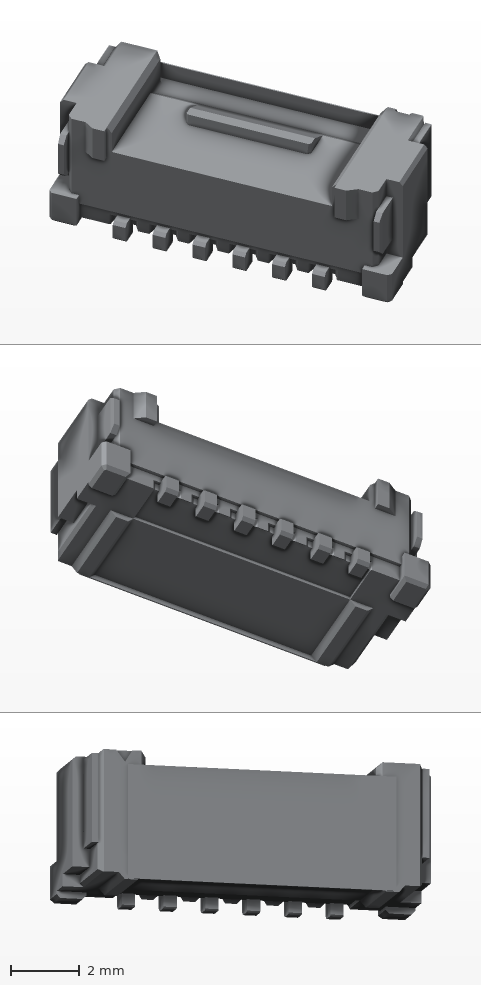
import cadquery as cq


TOP_Z = 3.90
HALF_WIDTH = 5.375
BODY_HALF_WIDTH = 4.86
FRONT_Y = -3.95
FOOT_FRONT_Y = -4.15
TAIL_FRONT_Y = -4.20
UNDERSIDE_Z = 0.27
RAIL_Z = 0.07

EDGE_CHAMFER = 0.11
REAR_CORNER_X = 0.13
REAR_CORNER_Y = 0.26
FRONT_CORNER = 0.14
FRONT_STEP_Z = 0.85
FRONT_STEP_DEPTH = 0.11
HOLLOW_DEPTH = 0.11

RECESS_HALF_WIDTH = 3.455
RECESS_LIP = 0.16
FLOOR_Z = 3.04
SUNK_FLOOR_Z = 2.93
SUNK_FLOOR_END_Y = -0.73
RAMP_END_Y = -0.93
RAMP_SLOPE = (FLOOR_Z - SUNK_FLOOR_Z) / (SUNK_FLOOR_END_Y - RAMP_END_Y)
FLOOR_FILLET = 0.10
MOUTH_LEAD_IN = 0.16

BUMP_HALF_WIDTH = 1.955
BUMP_CREST_Y = -1.55
BUMP_CREST_Z = SUNK_FLOOR_Z + RAMP_SLOPE * (SUNK_FLOOR_END_Y - BUMP_CREST_Y)
BUMP_TOP_Z = 3.40
BUMP_FRONT_Y = -1.93
BUMP_DRAFT = 0.03
BUMP_CORNER = 0.09

WING_REAR_Y = -1.26
WING_STEP_Y = -2.46
WING_FRONT_Y = -3.20
WING_REAR_BOTTOM_Z = 0.63
FOOT_INNER_X = 4.48
FOOT_TOP_Z = 1.16
RAIL_INNER_X = 3.54
RAIL_OUTER_X = 4.29
RAIL_FLANK = 0.18
RAIL_FRONT_Y = -2.50
PAD_INNER_X = 3.61
PAD_FLANK_X = 3.98
PAD_OUTER_X = 4.28
PAD_BOTTOM_Z = 2.81

MARK_LEFT_X = 3.88
MARK_TIP_X = 4.10
MARK_RIGHT_X = 4.37
MARK_HEIGHT = 0.35
MARK_DEPTH = 0.10

TAB_OUTER_X = 5.06
TAB_REAR_Y = -0.17
TAB_PLATE_FRONT_Y = -1.20
TAB_PLATE_BOTTOM_Z = 1.16
TAB_PLATE_TOP_Z = 3.80
TAB_NECK_BOTTOM_Z = 1.67
TAB_NECK_TOP_Z = 3.38
TAB_TIP_BOTTOM_Z = 1.77
TAB_TIP_TOP_Z = 3.27
TAB_TIP_CHAMFER = 0.21
TAB_TIP_TAPER = 0.02

CONTACT_COUNT = 6
CONTACT_PITCH = 1.25
CONTACT_WIDTH = 0.40
CONTACT_TOP_Z = 0.67
CONTACT_REAR_Y = -3.60
CONTACT_CHAMFER = 0.10
CONTACT_HEEL = 0.04
POCKET_HALF_WIDTH = 0.45
POCKET_DEPTH = 0.11
POCKET_TOP_Z = 0.63

PLATE_HALF_WIDTH = 4.02
PLATE_BOTTOM_Z = 0.09
PLATE_TOP_Z = 3.48
PLATE_THICKNESS = 0.04


def block(x0, x1, y0, y1, z0, z1):
    """Box between two corners."""
    return cq.Workplane("XY").box(x1 - x0, y1 - y0, z1 - z0, centered=False).translate((x0, y0, z0))


def side_profile(points, x0, x1):
    """Closed (y, z) outline extruded from x0 to x1."""
    return cq.Workplane("YZ", origin=(x0, 0, 0)).polyline(points).close().extrude(x1 - x0)


def front_profile(points, y_front, y_rear):
    """Closed (x, z) outline extruded from y_front back to y_rear."""
    return cq.Workplane("XZ", origin=(0, y_rear, 0)).polyline(points).close().extrude(y_rear - y_front)


def plan_profile(points, z0, z1):
    """Closed (x, y) outline extruded from z0 up to z1."""
    return cq.Workplane("XY", origin=(0, 0, z0)).polyline(points).close().extrude(z1 - z0)


def main_block():
    w = BODY_HALF_WIDTH
    rear_half = w - REAR_CORNER_X
    front_half = w - FRONT_CORNER
    plan = plan_profile(
        [
            (-rear_half, 0), (rear_half, 0), (w, -REAR_CORNER_Y),
            (w, FRONT_Y + FRONT_CORNER), (front_half, FRONT_Y),
            (-front_half, FRONT_Y), (-w, FRONT_Y + FRONT_CORNER), (-w, -REAR_CORNER_Y),
        ],
        UNDERSIDE_Z, TOP_Z,
    )
    c = EDGE_CHAMFER
    rear_section = front_profile(
        [
            (-w + c, UNDERSIDE_Z), (w - c, UNDERSIDE_Z), (w, UNDERSIDE_Z + c), (w, TOP_Z - c),
            (w - c, TOP_Z), (-w + c, TOP_Z), (-w, TOP_Z - c), (-w, UNDERSIDE_Z + c),
        ],
        RAIL_FRONT_Y, 0,
    )
    front_section = block(-w, w, FRONT_Y, RAIL_FRONT_Y, UNDERSIDE_Z, TOP_Z)
    set_back = block(
        -FOOT_INNER_X, FOOT_INNER_X, FRONT_Y, FRONT_Y + FRONT_STEP_DEPTH, UNDERSIDE_Z, FRONT_STEP_Z
    )
    return plan.intersect(rear_section.union(front_section)).cut(set_back)


def top_recess():
    """Volume removed between the two end blocks, down to both floors."""
    w = RECESS_HALF_WIDTH
    lip_z = TOP_Z - RECESS_LIP
    lip_half = w + RECESS_LIP
    upper = front_profile(
        [(-w, FLOOR_Z), (w, FLOOR_Z), (w, lip_z), (lip_half, TOP_Z), (-lip_half, TOP_Z), (-w, lip_z)],
        FOOT_FRONT_Y, 0,
    )
    sunk = block(-w, w, RAMP_END_Y, 0, SUNK_FLOOR_Z, lip_z)
    sunk = sunk.faces("<Z").edges("|Y").fillet(FLOOR_FILLET)
    ramp = side_profile(
        [(SUNK_FLOOR_END_Y, SUNK_FLOOR_Z), (RAMP_END_Y, FLOOR_Z), (RAMP_END_Y, SUNK_FLOOR_Z)], -w, w
    )
    return upper.union(sunk).cut(ramp)


def mouth_lead_in():
    """Volume removed to flare the rear ends of the recess."""
    outer = RECESS_HALF_WIDTH + MOUTH_LEAD_IN
    depth = MOUTH_LEAD_IN + FLOOR_FILLET
    inner = outer - depth
    return plan_profile([(-outer, 0), (outer, 0), (inner, -depth), (-inner, -depth)], SUNK_FLOOR_Z, TOP_Z)


def latch_bump():
    profile = [
        (SUNK_FLOOR_END_Y, SUNK_FLOOR_Z), (BUMP_CREST_Y, BUMP_CREST_Z),
        (BUMP_FRONT_Y + BUMP_DRAFT, BUMP_TOP_Z), (BUMP_FRONT_Y, FLOOR_Z), (BUMP_FRONT_Y, SUNK_FLOOR_Z),
    ]
    w = BUMP_HALF_WIDTH
    outline = plan_profile(
        [
            (-w, SUNK_FLOOR_END_Y), (w, SUNK_FLOOR_END_Y),
            (w, BUMP_FRONT_Y + BUMP_CORNER), (w - BUMP_CORNER, BUMP_FRONT_Y),
            (-w + BUMP_CORNER, BUMP_FRONT_Y), (-w, BUMP_FRONT_Y + BUMP_CORNER),
        ],
        SUNK_FLOOR_Z, BUMP_TOP_Z,
    )
    return side_profile(profile, -w, w).intersect(outline)


def left_wing():
    profile = [
        (WING_REAR_Y, TOP_Z), (WING_REAR_Y, WING_REAR_BOTTOM_Z), (WING_STEP_Y, WING_REAR_BOTTOM_Z),
        (WING_STEP_Y, UNDERSIDE_Z), (WING_FRONT_Y, UNDERSIDE_Z), (WING_FRONT_Y, TOP_Z),
    ]
    wing = side_profile(profile, -HALF_WIDTH, -FOOT_INNER_X)
    return wing.faces(">Z").edges("<X").chamfer(EDGE_CHAMFER)


def left_foot():
    c = EDGE_CHAMFER
    foot = plan_profile(
        [
            (-HALF_WIDTH, WING_FRONT_Y), (-HALF_WIDTH, FOOT_FRONT_Y + c), (-HALF_WIDTH + c, FOOT_FRONT_Y),
            (-FOOT_INNER_X, FOOT_FRONT_Y), (-FOOT_INNER_X, WING_FRONT_Y),
        ],
        RAIL_Z, FOOT_TOP_Z,
    )
    return foot.faces("<Z").edges("not >Y").chamfer(c)


def left_rail():
    """Standing rail under the rear half of the block."""
    return front_profile(
        [
            (-RAIL_OUTER_X, UNDERSIDE_Z), (-RAIL_OUTER_X + RAIL_FLANK, RAIL_Z),
            (-RAIL_INNER_X - RAIL_FLANK, RAIL_Z), (-RAIL_INNER_X, UNDERSIDE_Z),
        ],
        RAIL_FRONT_Y, 0,
    )


def left_pad():
    """Raised pad at the top of the front wall."""
    return plan_profile(
        [
            (-PAD_OUTER_X, FRONT_Y), (-PAD_FLANK_X, FOOT_FRONT_Y),
            (-PAD_INNER_X, FOOT_FRONT_Y), (-PAD_INNER_X, FRONT_Y),
        ],
        PAD_BOTTOM_Z, TOP_Z,
    )


def left_tab():
    """Solder tab: rear plate, neck through the wing, and bevelled tip in front."""
    x0, x1 = -TAB_OUTER_X, -BODY_HALF_WIDTH
    plate = block(x0, x1, TAB_PLATE_FRONT_Y, TAB_REAR_Y, TAB_PLATE_BOTTOM_Z, TAB_PLATE_TOP_Z)
    neck = block(x0, x1, WING_REAR_Y, TAB_PLATE_FRONT_Y, TAB_NECK_BOTTOM_Z, TAB_NECK_TOP_Z)
    bevel_y = TAIL_FRONT_Y + TAB_TIP_CHAMFER
    tip = plan_profile(
        [
            (x0, WING_FRONT_Y), (x0, bevel_y), (x0 + TAB_TIP_TAPER, TAIL_FRONT_Y),
            (x1, TAIL_FRONT_Y), (x1, WING_FRONT_Y),
        ],
        TAB_TIP_BOTTOM_Z, TAB_TIP_TOP_Z,
    )
    tip_sides = side_profile(
        [
            (WING_FRONT_Y, TAB_TIP_BOTTOM_Z), (bevel_y, TAB_TIP_BOTTOM_Z),
            (TAIL_FRONT_Y, TAB_TIP_BOTTOM_Z + TAB_TIP_CHAMFER),
            (TAIL_FRONT_Y, TAB_TIP_TOP_Z - TAB_TIP_CHAMFER),
            (bevel_y, TAB_TIP_TOP_Z), (WING_FRONT_Y, TAB_TIP_TOP_Z),
        ],
        x0, x1,
    )
    tip = tip.intersect(tip_sides)
    return [plate, neck, tip]


def underside_hollow():
    """Shallow hollow from the front wall, rising at 45 degrees, back to the fronts of the rails."""
    wall_y = FRONT_Y + FRONT_STEP_DEPTH
    ceiling_z = UNDERSIDE_Z + HOLLOW_DEPTH
    return side_profile(
        [
            (wall_y, UNDERSIDE_Z), (wall_y + HOLLOW_DEPTH, ceiling_z), (RAIL_FRONT_Y, ceiling_z),
            (RAIL_FRONT_Y, UNDERSIDE_Z),
        ],
        -RAIL_INNER_X, RAIL_INNER_X,
    )


def contact_pocket(x):
    """Pocket in the front wall, open below, its sides closing in at 45 degrees around the contact at x."""
    wall_y = FRONT_Y + FRONT_STEP_DEPTH
    back_y = wall_y + POCKET_DEPTH
    back_half_width = POCKET_HALF_WIDTH - POCKET_DEPTH
    return plan_profile(
        [
            (x - POCKET_HALF_WIDTH, wall_y), (x + POCKET_HALF_WIDTH, wall_y),
            (x + back_half_width, back_y), (x - back_half_width, back_y),
        ],
        UNDERSIDE_Z, POCKET_TOP_Z,
    )


def contact(x):
    c = CONTACT_CHAMFER
    profile = [
        (CONTACT_REAR_Y, CONTACT_TOP_Z), (TAIL_FRONT_Y + c, CONTACT_TOP_Z),
        (TAIL_FRONT_Y, CONTACT_TOP_Z - c), (TAIL_FRONT_Y, c), (TAIL_FRONT_Y + c, 0),
        (CONTACT_REAR_Y - CONTACT_HEEL, 0), (CONTACT_REAR_Y, CONTACT_HEEL),
    ]
    return side_profile(profile, x - CONTACT_WIDTH / 2, x + CONTACT_WIDTH / 2)


def pin_one_notch():
    return front_profile(
        [(MARK_LEFT_X, TOP_Z), (MARK_TIP_X, TOP_Z - MARK_HEIGHT), (MARK_RIGHT_X, TOP_Z)], -MARK_DEPTH, 0
    )


def build_housing():
    body = main_block().cut(underside_hollow()).cut(top_recess()).cut(mouth_lead_in()).union(latch_bump())
    left_features = [left_wing(), left_foot(), left_rail(), left_pad(), *left_tab()]
    for feature in left_features:
        body = body.union(feature).union(feature.mirror("YZ"))
    for i in range(CONTACT_COUNT):
        x = (i - (CONTACT_COUNT - 1) / 2) * CONTACT_PITCH
        body = body.cut(contact_pocket(x)).union(contact(x))
    return body.cut(pin_one_notch()).solids()


def build_cover_plate():
    return block(-PLATE_HALF_WIDTH, PLATE_HALF_WIDTH, 0, PLATE_THICKNESS, PLATE_BOTTOM_Z, PLATE_TOP_Z)


housing = build_housing()
cover_plate = build_cover_plate()

result = cq.Compound.makeCompound([housing.val(), cover_plate.val()])